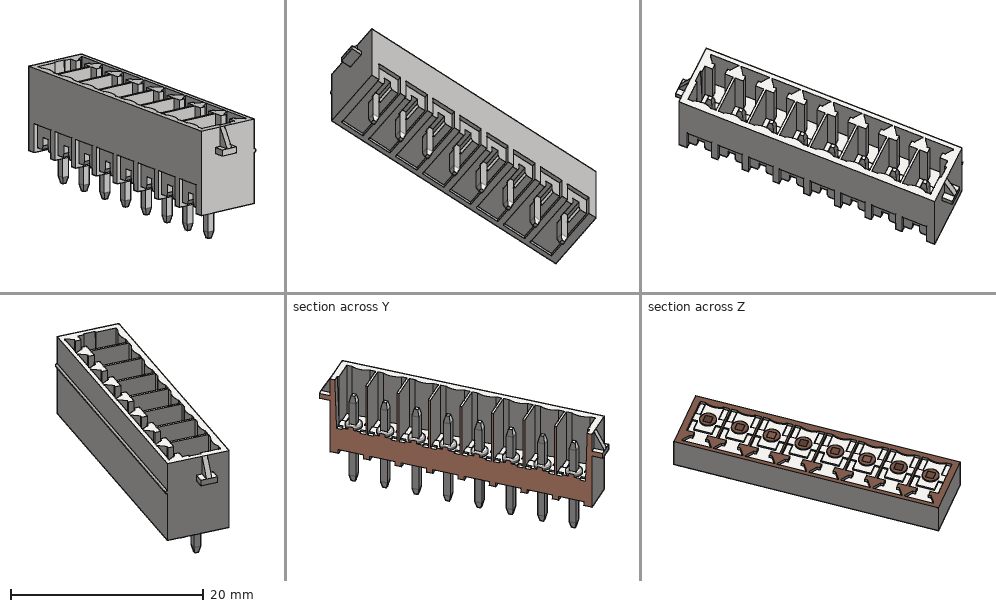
import cadquery as cq


total_length = 31.5
housing_length = 29.15
housing_depth = 7.0
housing_height = 9.2

pin_count = 8
pitch = 3.5
pin_y = 2.77
pin_xs = [(i - (pin_count - 1) / 2) * pitch for i in range(pin_count)]

pin_width = 0.8
pin_tip_width = 0.4
pin_tip_length = 0.8
pin_below = 3.5
pin_top = 7.18

end_wall = 0.75
front_wall = 0.65
back_wall = 0.5
divider = 0.25
floor_top = 3.15
cavity_length = housing_length - 2 * end_wall
cavity_back = housing_depth - back_wall
cavity_height = housing_height - floor_top
wall_xs = [x - pitch / 2 for x in pin_xs] + [pin_xs[-1] + pitch / 2]

key_front = 4.98
key_step = 5.6
key_neck = 1.42
key_step_gap = 2.05

bulge_width = 2.02
bulge_height = 0.25
cross_back = 4.47
cross_arm = 0.95
cross_height = 0.2

boss_diameter = 1.8
boss_height = 0.38
boss_round = 0.15

relief_width = 1.32
relief_depth = 0.2
relief_y = 3.6

notch_width = 2.77
notch_height = 3.15
notch_depth = 0.4
underside_recess = 0.47
slot_top = 1.8
lead_in_width = 0.15
lead_in_height = 0.45

latch_reach = (total_length - housing_length) / 2
latch_plate_width = 1.9
latch_plate_thickness = 0.65
latch_plate_top = 7.1
latch_rib_width = 0.6

ridge_z = 5.75
ridge_radius = 0.208


def block(x_center, x_size, y_start, y_end, z_start, z_end):
    """Box centred on x_center, between the given Y and Z limits."""
    return (
        cq.Workplane("XY")
        .box(x_size, y_end - y_start, z_end - z_start, centered=(True, False, False))
        .translate((x_center, y_start, z_start))
    )


def make_shell():
    """Outer block with one long cavity open at the top."""
    body = block(0, housing_length, 0, housing_depth, 0, housing_height)
    return body.cut(block(0, cavity_length, front_wall, cavity_back, floor_top, housing_height))


def make_partition(x):
    """Divider with a keyed head, which tapers to the divider thickness at the back wall."""
    half_divider = divider / 2
    half_head = (pitch - key_neck) / 2
    half_taper = (pitch - key_step_gap) / 2
    outline = [
        (-half_divider, front_wall),
        (half_divider, front_wall),
        (half_divider, key_front),
        (half_head, key_front),
        (half_head, key_step),
        (half_taper, key_step),
        (half_divider, cavity_back),
        (-half_divider, cavity_back),
        (-half_taper, key_step),
        (-half_head, key_step),
        (-half_head, key_front),
        (-half_divider, key_front),
    ]
    partition = cq.Workplane("XY").polyline(outline).close().extrude(cavity_height)
    return partition.translate((x, 0, floor_top))


def make_bulge(x):
    """Shallow arc that thickens the front wall in the middle of a compartment."""
    return (
        cq.Workplane("XY")
        .moveTo(-bulge_width / 2, front_wall)
        .threePointArc((0, front_wall + bulge_height), (bulge_width / 2, front_wall))
        .close()
        .extrude(cavity_height)
        .translate((x, 0, floor_top))
    )


def make_floor_cross(x):
    """Raised cross on the compartment floor, with a rounded boss around the pin."""
    cross_top = floor_top + cross_height
    stem = block(x, bulge_width, front_wall, cross_back, floor_top, cross_top)
    arms = block(x, pitch, pin_y - cross_arm / 2, pin_y + cross_arm / 2, floor_top, cross_top)
    boss = (
        cq.Workplane("XY")
        .circle(boss_diameter / 2)
        .extrude(boss_height)
        .faces(">Z")
        .edges()
        .fillet(boss_round)
        .translate((x, pin_y, cross_top))
    )
    return stem.union(arms).union(boss)


def make_end_relief(side):
    """Wedge cut into an end wall, deepest at the rim and running out at the floor."""
    face_x = side * cavity_length / 2
    profile = [
        (face_x, floor_top),
        (face_x, housing_height),
        (face_x + side * relief_depth, housing_height),
    ]
    return (
        cq.Workplane("XZ", origin=(0, relief_y, 0))
        .polyline(profile)
        .close()
        .extrude(relief_width / 2, both=True)
    )


def make_bottom_opening(x):
    """Front notch, underside recess, and the slot with a lead-in that lets the pin in."""
    pin_front = pin_y - pin_width / 2
    notch = block(x, notch_width, 0, notch_depth, 0, notch_height)
    recess = block(x, notch_width, 0, cavity_back, 0, underside_recess)
    slot = block(x, pin_width, notch_depth, pin_front, underside_recess, slot_top)
    half_slot = pin_width / 2
    half_mouth = half_slot + lead_in_width
    lead_in_top = underside_recess + lead_in_height
    lead_in = (
        cq.Workplane("XZ", origin=(x, pin_front, 0))
        .polyline(
            [
                (-half_mouth, underside_recess),
                (half_mouth, underside_recess),
                (half_slot, lead_in_top),
                (-half_slot, lead_in_top),
            ]
        )
        .close()
        .extrude(pin_front - notch_depth)
    )
    return notch.union(recess).union(slot).union(lead_in)


def make_latch(side):
    """Plate on an end wall with a sloping rib that rises to the rim."""
    wall_x = side * housing_length / 2
    plate = block(
        wall_x + side * latch_reach / 2,
        latch_reach,
        pin_y - latch_plate_width / 2,
        pin_y + latch_plate_width / 2,
        latch_plate_top - latch_plate_thickness,
        latch_plate_top,
    )
    rib = (
        cq.Workplane("XZ", origin=(0, pin_y, 0))
        .polyline(
            [
                (wall_x, latch_plate_top),
                (wall_x + side * latch_reach, latch_plate_top),
                (wall_x, housing_height),
            ]
        )
        .close()
        .extrude(latch_rib_width / 2, both=True)
    )
    return plate.union(rib)


def make_ridge():
    """Half-round ridge along the back face, over the whole housing length."""
    return (
        cq.Workplane("YZ", origin=(0, housing_depth, ridge_z))
        .moveTo(0, -ridge_radius)
        .threePointArc((ridge_radius, 0), (0, ridge_radius))
        .close()
        .extrude(housing_length / 2, both=True)
    )


def make_pin(x):
    """Square pin with a tapered tip at each end."""
    shank_bottom = pin_tip_length - pin_below
    shank_top = pin_top - pin_tip_length
    return (
        cq.Workplane("XY", origin=(x, pin_y, shank_bottom))
        .rect(pin_width, pin_width)
        .extrude(shank_top - shank_bottom)
        .faces(">Z")
        .workplane()
        .rect(pin_width, pin_width)
        .workplane(offset=pin_tip_length)
        .rect(pin_tip_width, pin_tip_width)
        .loft()
        .faces("<Z")
        .workplane()
        .rect(pin_width, pin_width)
        .workplane(offset=pin_tip_length)
        .rect(pin_tip_width, pin_tip_width)
        .loft()
    )


def make_housing(pins):
    """Housing with its compartments, latches and openings, and a hole fitted to each pin."""
    body = make_shell()
    envelope = block(0, housing_length, 0, housing_depth, 0, housing_height)
    for x in wall_xs:
        body = body.union(make_partition(x).intersect(envelope))
    for x in pin_xs:
        body = body.union(make_bulge(x))
        body = body.union(make_floor_cross(x))
        body = body.cut(make_bottom_opening(x))
    for side in (-1, 1):
        body = body.cut(make_end_relief(side))
        body = body.union(make_latch(side))
    body = body.union(make_ridge())
    for pin in pins:
        body = body.cut(pin)
    return body


pins = [make_pin(x) for x in pin_xs]
housing = make_housing(pins)
result = cq.Compound.makeCompound([housing.val(), *[pin.val() for pin in pins]])